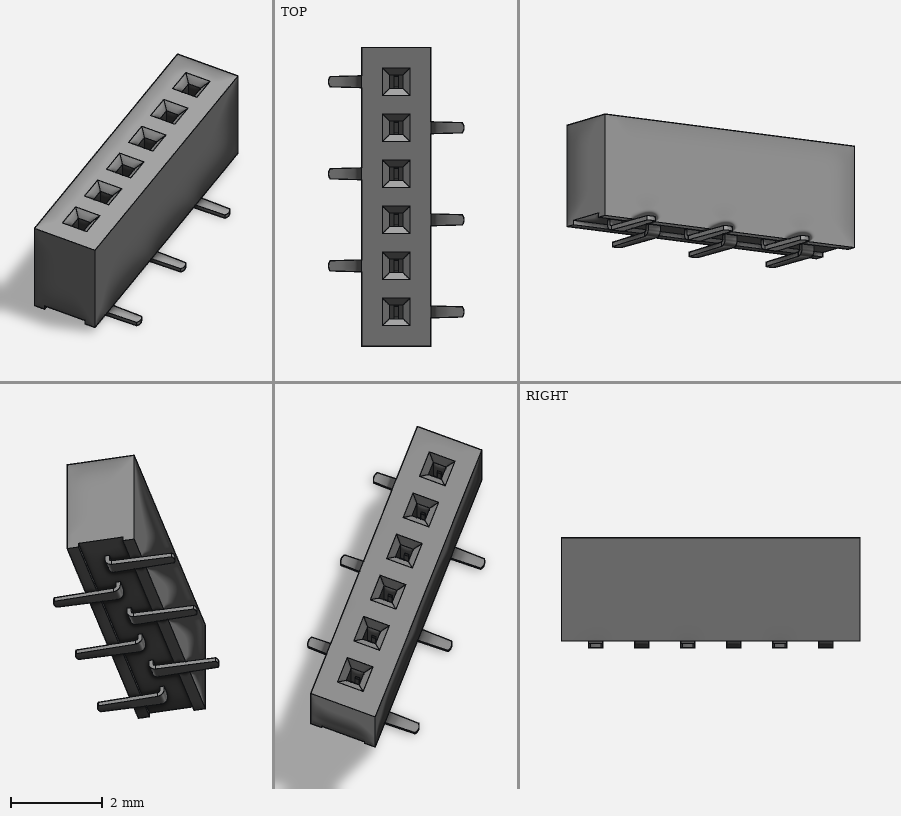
import cadquery as cq

LENGTH = 6.5
WIDTH = 1.5
OVERALL_HEIGHT = 2.4
STANDOFF = 0.15
RECESS_HEIGHT = 0.1
RAIL_WIDTH = 0.255

CONTACT_COUNT = 6
PITCH = 1.0

MOUTH_SIZE = 0.6
BORE_SIZE = 0.3
FUNNEL_DEPTH = 0.15
BORE_DEPTH = 1.0

STRIP_THICKNESS = 0.1
BEND_INNER_RADIUS = 0.05
POST_WIDTH = 0.31
TAIL_REACH = 1.475
TAIL_TIP_WIDTH = 0.23
TIP_LENGTH = 0.04
TAIL_ROOT_WIDTH = 0.3

FORK_HEIGHT = 0.5
FORK_BASE_HEIGHT = 0.1
FORK_GAP = 0.23

HOUSING_HEIGHT = OVERALL_HEIGHT - STANDOFF
SOCKET_FLOOR = OVERALL_HEIGHT - FUNNEL_DEPTH - BORE_DEPTH
BEND_OUTER_RADIUS = BEND_INNER_RADIUS + STRIP_THICKNESS
TAIL_START = BEND_OUTER_RADIUS - STRIP_THICKNESS / 2


def make_housing():
    block = cq.Workplane("XY").workplane(offset=STANDOFF).box(
        WIDTH, LENGTH, HOUSING_HEIGHT, centered=(True, True, False)
    )
    recess = cq.Workplane("XY").workplane(offset=STANDOFF).box(
        WIDTH - 2 * RAIL_WIDTH, LENGTH, RECESS_HEIGHT, centered=(True, True, False)
    )
    return block.cut(recess)


def make_socket():
    """Cavity of one socket, centred on the Z axis."""
    funnel = (
        cq.Workplane("XY", origin=(0, 0, OVERALL_HEIGHT))
        .rect(MOUTH_SIZE, MOUTH_SIZE)
        .workplane(offset=-FUNNEL_DEPTH)
        .rect(BORE_SIZE, BORE_SIZE)
        .loft(ruled=True)
    )
    bore = cq.Workplane("XY", origin=(0, 0, SOCKET_FLOOR)).box(
        BORE_SIZE, BORE_SIZE, BORE_DEPTH, centered=(True, True, False)
    )
    return funnel.union(bore)


def make_fork():
    """Fork on the socket floor, its gap opening upwards with 45 degree lead-ins."""
    half_bore = BORE_SIZE / 2
    half_gap = FORK_GAP / 2
    fork_top = SOCKET_FLOOR + FORK_HEIGHT
    gap_floor = SOCKET_FLOOR + FORK_BASE_HEIGHT
    lead_in_bottom = fork_top - (half_bore - half_gap)
    return (
        cq.Workplane("YZ")
        .moveTo(-half_bore, SOCKET_FLOOR)
        .lineTo(-half_bore, fork_top)
        .lineTo(-half_gap, lead_in_bottom)
        .lineTo(-half_gap, gap_floor)
        .lineTo(half_gap, gap_floor)
        .lineTo(half_gap, lead_in_bottom)
        .lineTo(half_bore, fork_top)
        .lineTo(half_bore, SOCKET_FLOOR)
        .close()
        .extrude(STRIP_THICKNESS / 2, both=True)
    )


def make_lead():
    """One lead on the Z axis, with its tail pointing along +X."""
    half_thickness = STRIP_THICKNESS / 2

    post_and_bend = (
        cq.Workplane("XZ")
        .moveTo(-half_thickness, SOCKET_FLOOR)
        .lineTo(-half_thickness, BEND_OUTER_RADIUS)
        .radiusArc((TAIL_START, 0), -BEND_OUTER_RADIUS)
        .lineTo(TAIL_START, STRIP_THICKNESS)
        .radiusArc((half_thickness, BEND_OUTER_RADIUS), BEND_INNER_RADIUS)
        .lineTo(half_thickness, SOCKET_FLOOR)
        .close()
        .extrude(POST_WIDTH / 2, both=True)
    )

    shoulder = TAIL_REACH - TIP_LENGTH
    tail = (
        cq.Workplane("XY")
        .moveTo(TAIL_START, -TAIL_ROOT_WIDTH / 2)
        .lineTo(shoulder, -TAIL_TIP_WIDTH / 2)
        .threePointArc((TAIL_REACH, 0), (shoulder, TAIL_TIP_WIDTH / 2))
        .lineTo(TAIL_START, TAIL_ROOT_WIDTH / 2)
        .close()
        .extrude(STRIP_THICKNESS)
    )

    return post_and_bend.union(tail).union(make_fork())


result = make_housing()
socket = make_socket()
lead = make_lead()

for index in range(CONTACT_COUNT):
    y = (index - (CONTACT_COUNT - 1) / 2) * PITCH
    tail_turn = 180 * (index % 2)
    turned_lead = lead.rotate((0, 0, 0), (0, 0, 1), tail_turn)
    result = result.cut(socket.translate((0, y, 0)))
    result = result.union(turned_lead.translate((0, y, 0)))